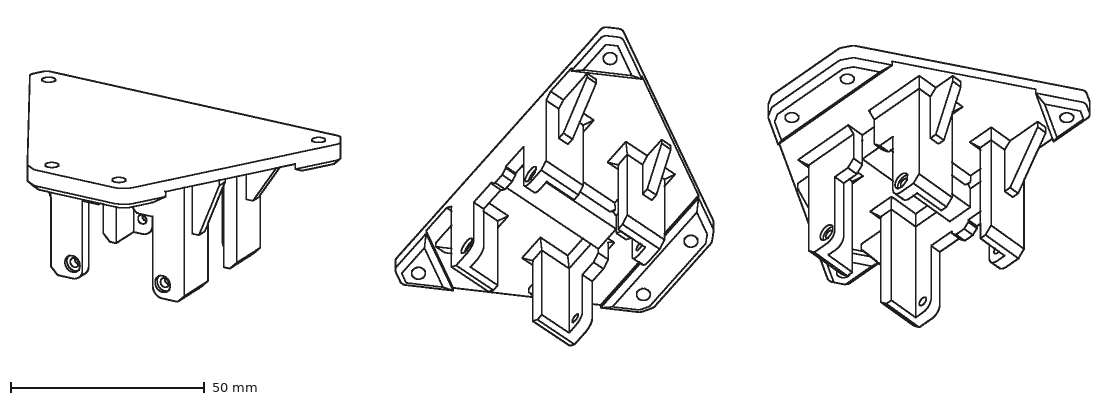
import cadquery as cq
import math

PLATE_DEPTH = 60.0
PLATE_WIDTH = 92.5
PLATE_THICKNESS = 3.05
BACK_CORNER_CUT = 5.0
FRONT_CORNER_CUT = 2.1
CORNER_RADIUS = 1.85
BACK_Y = PLATE_DEPTH / 2
FRONT_Y = -PLATE_DEPTH / 2
SIN_30 = math.sin(math.radians(30))
COS_30 = math.cos(math.radians(30))
CORNER_ROUNDING_LOSS = CORNER_RADIUS * (1 / COS_30 - 1)
BACK_SHARP_WIDTH = PLATE_WIDTH + BACK_CORNER_CUT + 2 * CORNER_ROUNDING_LOSS
FLANK_RUN = SIN_30 / COS_30
FRONT_SHARP_WIDTH = BACK_SHARP_WIDTH - 2 * PLATE_DEPTH * FLANK_RUN

PAD_THICKNESS = 6.1
PAD_CHAMFER = 1.7
FRONT_PAD_LENGTH = 10.8
BACK_PAD_SIDE = 18.4

SCREW_DIAMETER = 3.5
SCREW_Y = 24.9
BACK_SCREW_SPACING = 80.9
FRONT_SCREW_SPACING = 20.1

LEG_BOTTOM_Z = -38.0
FRAME_WIDTH = 40.0
FRAME_DEPTH = 12.1
FRAME_WALL = 3.2
FLANGE_WALL = 3.9
FRAMES_LENGTH = 38.6
LEG_GAP = 21.0
WEB_BOTTOM_Z = -15.8
LEG_CHAMFER = 2.0
LEG_RADIUS = 3.0
FLARE = 1.9
FRAMES_MID_Y = BACK_Y - FRAMES_LENGTH / 2
FRAMES_FRONT_Y = BACK_Y - FRAMES_LENGTH

PIVOT_SPACING = 27.0
PIVOT_Z = -34.0
PIVOT_DIAMETER = 2.5
PIVOT_BORE_DIAMETER = 4.5
PIVOT_BORE_DEPTH = 1.0

BEAM_WIDTH = 7.5
BEAM_BOTTOM_Z = -11.75
NOTCH_FLARE = 2.0
TAB_WIDTH = 5.9
TAB_DROP = 2.2
TAB_CHAMFER = 1.5

RIB_THICKNESS = 3.0
RIB_INSET = 4.2
RIB_BOTTOM_Z = -20.1
RIB_FOOT = 1.9
RIB_STUB = 1.9
FRONT_RIB_REACH = 28.0
BACK_RIB_REACH = 31.9


def box(x_min, x_max, y_min, y_max, z_min, z_max):
    size = (x_max - x_min, y_max - y_min, z_max - z_min)
    return cq.Workplane("XY").box(*size, centered=False).translate((x_min, y_min, z_min))


def extrude_y(points, y_min, y_max):
    """Extrude an outline of (x, z) points from y_min to y_max."""
    plane = cq.Workplane("XZ", origin=(0, y_max, 0))
    return plane.polyline(points).close().extrude(y_max - y_min)


def mirror_x(body):
    return body.union(body.mirror("YZ"))


def plate_outline(thickness):
    """Rounded trapezoid hanging down from Z = 0."""
    half_back = BACK_SHARP_WIDTH / 2
    half_front = FRONT_SHARP_WIDTH / 2
    back_dx = BACK_CORNER_CUT * SIN_30
    back_dy = BACK_CORNER_CUT * COS_30
    front_dx = FRONT_CORNER_CUT * SIN_30
    front_dy = FRONT_CORNER_CUT * COS_30
    right = [
        (half_front - FRONT_CORNER_CUT, FRONT_Y),
        (half_front + front_dx, FRONT_Y + front_dy),
        (half_back - back_dx, BACK_Y - back_dy),
        (half_back - BACK_CORNER_CUT, BACK_Y),
    ]
    left = [(-x, y) for x, y in reversed(right)]
    slab = cq.Workplane("XY").polyline(right + left).close().extrude(-thickness)
    return slab.edges("|Z").fillet(CORNER_RADIUS)


def corner_pads():
    """Pads that follow the plate outline, chamfered around the lower edge."""
    full = plate_outline(PAD_THICKNESS)
    half_back = BACK_SHARP_WIDTH / 2
    front_zone = box(-half_back, half_back, FRONT_Y, FRONT_Y + FRONT_PAD_LENGTH, -PAD_THICKNESS, 0)
    corner = [
        (half_back, BACK_Y),
        (half_back - BACK_PAD_SIDE, BACK_Y),
        (half_back - BACK_PAD_SIDE * SIN_30, BACK_Y - BACK_PAD_SIDE * COS_30),
    ]
    back_zone = cq.Workplane("XY").polyline(corner).close().extrude(-PAD_THICKNESS)
    right_pad = full.intersect(back_zone).faces("<Z").chamfer(PAD_CHAMFER)
    front_pad = full.intersect(front_zone).faces("<Z").chamfer(PAD_CHAMFER)
    return front_pad.union(mirror_x(right_pad))


def root_flare(x_min, x_max, y_min, y_max):
    """45 degree skirt around a wall where it meets the plate, kept inside the plate outline."""
    width = x_max - x_min + 2 * FLARE
    depth = y_max - y_min + 2 * FLARE
    center = ((x_min + x_max) / 2, (y_min + y_max) / 2, -PLATE_THICKNESS)
    skirt = cq.Workplane("XY", origin=center).rect(width, depth).extrude(-FLARE, taper=45)
    return skirt.intersect(plate_outline(PAD_THICKNESS))


def frame():
    """Front frame: a U-shaped wall with flanges running back from its outer edges."""
    half_width = FRAME_WIDTH / 2
    half_gap = LEG_GAP / 2
    flange_x = half_width - FLANGE_WALL
    wall_y = FRAMES_FRONT_Y + FRAME_WALL
    back_y = FRAMES_FRONT_Y + FRAME_DEPTH

    body = box(-half_width, half_width, FRAMES_FRONT_Y, back_y, LEG_BOTTOM_Z, -PLATE_THICKNESS)
    body = body.cut(box(-half_gap, half_gap, FRAMES_FRONT_Y, back_y, LEG_BOTTOM_Z, WEB_BOTTOM_Z))
    leg_tips = body.faces("<Z").edges("|Y")
    body = leg_tips.edges("<X or >X").chamfer(LEG_CHAMFER)
    inner_tips = cq.selectors.BoxSelector(
        (-half_gap - LEG_RADIUS, FRAMES_FRONT_Y, LEG_BOTTOM_Z - LEG_RADIUS),
        (half_gap + LEG_RADIUS, back_y, LEG_BOTTOM_Z + LEG_RADIUS),
    )
    body = body.edges("|Y").edges(inner_tips).fillet(LEG_RADIUS)
    body = body.cut(box(-flange_x, flange_x, wall_y, back_y, LEG_BOTTOM_Z, -PLATE_THICKNESS))

    body = body.union(root_flare(-half_width, half_width, FRAMES_FRONT_Y, wall_y))
    body = body.union(mirror_x(root_flare(flange_x, half_width, FRAMES_FRONT_Y, back_y)))

    pivots = [(-PIVOT_SPACING / 2, PIVOT_Z), (PIVOT_SPACING / 2, PIVOT_Z)]
    drill = cq.Workplane("XZ", origin=(0, FRAMES_FRONT_Y, 0)).pushPoints(pivots)
    body = body.cut(drill.circle(PIVOT_DIAMETER / 2).extrude(-FRAME_WALL))
    return body.cut(drill.circle(PIVOT_BORE_DIAMETER / 2).extrude(-PIVOT_BORE_DEPTH))


def mirrored_to_back(body):
    """Mirror the front frame to the back and trim its flare flush with the plate's back edge."""
    copy = body.mirror("XZ", (0, FRAMES_MID_Y, 0))
    overhang = box(-PLATE_WIDTH / 2, PLATE_WIDTH / 2, BACK_Y, BACK_Y + FLARE, LEG_BOTTOM_Z, 0)
    return copy.cut(overhang)


def notch():
    """Slot through the front web, up to the plate, with a flared mouth."""
    half = BEAM_WIDTH / 2
    mouth = half + NOTCH_FLARE
    outline = [
        (-half, -PLATE_THICKNESS),
        (half, -PLATE_THICKNESS),
        (half, WEB_BOTTOM_Z + NOTCH_FLARE),
        (mouth, WEB_BOTTOM_Z),
        (-mouth, WEB_BOTTOM_Z),
        (-half, WEB_BOTTOM_Z + NOTCH_FLARE),
    ]
    return extrude_y(outline, FRAMES_FRONT_Y - FLARE, FRAMES_FRONT_Y + FRAME_WALL)


def tab():
    """Tongue with chamfered corners under the back web."""
    half = TAB_WIDTH / 2
    bottom = WEB_BOTTOM_Z - TAB_DROP
    outline = [
        (-half, WEB_BOTTOM_Z),
        (half, WEB_BOTTOM_Z),
        (half, bottom + TAB_CHAMFER),
        (half - TAB_CHAMFER, bottom),
        (TAB_CHAMFER - half, bottom),
        (-half, bottom + TAB_CHAMFER),
    ]
    return extrude_y(outline, BACK_Y - FRAME_WALL, BACK_Y)


def beam():
    """Central beam between the inner faces of the two webs."""
    half = BEAM_WIDTH / 2
    y_min = FRAMES_FRONT_Y + FRAME_WALL
    y_max = BACK_Y - FRAME_WALL
    bar = box(-half, half, y_min, y_max, BEAM_BOTTOM_Z, -PLATE_THICKNESS)
    return bar.union(root_flare(-half, half, y_min + FLARE, y_max - FLARE))


def rib_pair(reach, y_min):
    """Two ribs bracing the flanges of a frame against the plate."""
    flange_x = FRAME_WIDTH / 2
    outline = [
        (flange_x - FLANGE_WALL / 2, -PLATE_THICKNESS),
        (reach, -PLATE_THICKNESS),
        (reach, -PLATE_THICKNESS - RIB_STUB),
        (flange_x + RIB_FOOT, RIB_BOTTOM_Z),
        (flange_x - FLANGE_WALL / 2, RIB_BOTTOM_Z),
    ]
    return mirror_x(extrude_y(outline, y_min, y_min + RIB_THICKNESS))


def screw_holes():
    back = [(side * BACK_SCREW_SPACING / 2, SCREW_Y) for side in (-1, 1)]
    front = [(side * FRONT_SCREW_SPACING / 2, -SCREW_Y) for side in (-1, 1)]
    points = cq.Workplane("XY").pushPoints(back + front)
    return points.circle(SCREW_DIAMETER / 2).extrude(-PAD_THICKNESS)


front_frame = frame()
back_frame = mirrored_to_back(front_frame)
front_ribs = rib_pair(FRONT_RIB_REACH, FRAMES_FRONT_Y + RIB_INSET)
back_ribs = rib_pair(BACK_RIB_REACH, BACK_Y - RIB_INSET - RIB_THICKNESS)

result = plate_outline(PLATE_THICKNESS).union(corner_pads())
result = result.union(back_frame)
result = result.union(front_frame.cut(notch()))
result = result.union(tab()).union(beam()).union(front_ribs).union(back_ribs)
result = result.cut(screw_holes())